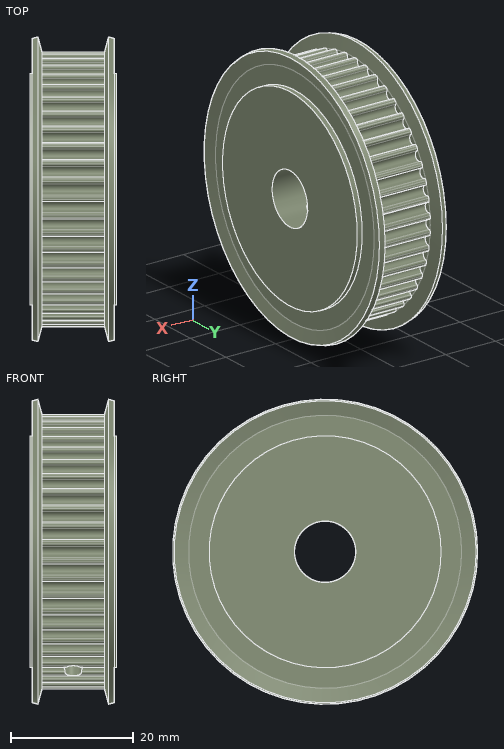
import cadquery as cq
import math

flange_diameter = 50.0
hub_diameter = 38.0
hub_length = 14.2
bore_diameter = 10.0

tooth_count = 48
tooth_tip_radius = 22.55
rim_width = 10.2
groove_radius = 0.9
tooth_tip_fillet = 0.35

flange_thickness = 1.0
flange_bend_radius = 22.5
lip_angle = math.radians(15)

screw_hole_diameter = 3.25
screw_hole_angle = 60.0


def polar(radius, angle):
    return (radius * math.cos(angle), radius * math.sin(angle))


def from_centre(centre, radius, angle):
    dx, dy = polar(radius, angle)
    return (centre[0] + dx, centre[1] + dy)


def toothed_outline():
    """Closed outline of round-bottomed grooves with rounded tooth tips between them."""
    pitch_angle = 2 * math.pi / tooth_count
    fillet_centre_radius = tooth_tip_radius - tooth_tip_fillet
    fillet_angle = math.asin((groove_radius + tooth_tip_fillet) / fillet_centre_radius)
    groove_centre_radius = fillet_centre_radius * math.cos(fillet_angle)

    outline = cq.Workplane("YZ").moveTo(*polar(tooth_tip_radius, -fillet_angle))
    for tooth in range(tooth_count):
        angle = tooth * pitch_angle
        quarter = math.pi / 2
        first_fillet = polar(fillet_centre_radius, angle - fillet_angle)
        second_fillet = polar(fillet_centre_radius, angle + fillet_angle)
        groove_centre = polar(groove_centre_radius, angle)
        wall_start = from_centre(groove_centre, groove_radius, angle - quarter)
        wall_end = from_centre(groove_centre, groove_radius, angle + quarter)
        groove_bottom = polar(groove_centre_radius - groove_radius, angle)
        first_fillet_middle = from_centre(first_fillet, tooth_tip_fillet, angle + quarter / 2)
        second_fillet_middle = from_centre(second_fillet, tooth_tip_fillet, angle - quarter / 2)
        land_start = polar(tooth_tip_radius, angle + fillet_angle)
        land_middle = polar(tooth_tip_radius, angle + pitch_angle / 2)
        land_end = polar(tooth_tip_radius, angle + pitch_angle - fillet_angle)
        outline = (
            outline.threePointArc(first_fillet_middle, wall_start)
            .threePointArc(groove_bottom, wall_end)
            .threePointArc(second_fillet_middle, land_start)
            .threePointArc(land_middle, land_end)
        )
    return outline.close()


def make_pulley():
    rim = toothed_outline().extrude(rim_width / 2, both=True)
    hub = cq.Workplane("YZ").circle(hub_diameter / 2).extrude(hub_length / 2, both=True)
    bore = cq.Workplane("YZ").circle(bore_diameter / 2).extrude(hub_length, both=True)

    screw_hole = (
        cq.Workplane("XZ")
        .circle(screw_hole_diameter / 2)
        .extrude(flange_diameter / 2)
        .rotate((0, 0, 0), (1, 0, 0), screw_hole_angle)
    )
    return rim.union(hub).cut(bore).cut(screw_hole)


def make_flange():
    """Flange at +X, revolved from a bent strip of constant thickness."""
    inner_face = rim_width / 2
    outer_face = inner_face + flange_thickness
    tip_radius = flange_diameter / 2
    tip_x = inner_face + (tip_radius - flange_bend_radius) * math.tan(lip_angle)
    rim_x = tip_x + flange_thickness * math.cos(lip_angle)
    rim_radius = tip_radius - flange_thickness * math.sin(lip_angle)
    outer_bend_radius = flange_bend_radius - flange_thickness * math.tan(lip_angle / 2)
    return (
        cq.Workplane("XY")
        .polyline(
            [
                (inner_face, hub_diameter / 2),
                (inner_face, flange_bend_radius),
                (tip_x, tip_radius),
                (rim_x, rim_radius),
                (outer_face, outer_bend_radius),
                (outer_face, hub_diameter / 2),
            ]
        )
        .close()
        .revolve(360, (0, 0, 0), (1, 0, 0))
    )


pulley = make_pulley()
right_flange = make_flange()
left_flange = right_flange.mirror("YZ")

result = cq.Compound.makeCompound([pulley.val(), right_flange.val(), left_flange.val()])